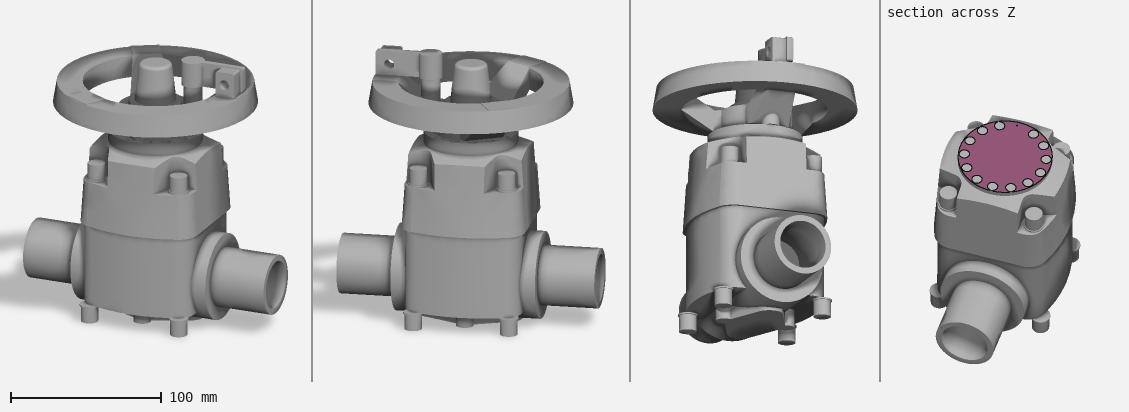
import cadquery as cq
import math


pipe_half_length = 87.0
pipe_radius = 20.1
bore_radius = 16.1
collar_half_length = 48.8
collar_radius = 29.2
pipe_axis_z = 31.2

body_half_x = 39.3
body_half_y = 42.8
bow_radius = 86.3
corner_radius = 13.2
body_bottom_z = 11.8
body_top_z = 68.2

bonnet_overhang = 2.2
bonnet_draft = 3.9
roof_slope = 0.35
flange_radius = 31.4
flange_bottom_z = 121.1
flange_top_z = 129.3

lock_hole_count = 14
lock_hole_radius = 3.3
lock_hole_depth = 4.5
lock_circle_radius = 27.2

bolt_radius = 5.8
washer_radius = 6.5
washer_height = 1.0
upper_bolt_offset = 29.7
upper_bolt_top_z = 110.2
pocket_floor_z = 98.5
pocket_radius = 8.5
pocket_wall_angle = 20.0
lower_bolt_x = 32.3
lower_bolt_y = 35.2
middle_bolt_y = 21.8

foot_nose_radius = 9.0
foot_nose_x = 25.5
foot_peak_y = 21.8

hub_radius = 25.0
hub_top_z = 144.9
rim_bottom_radius = 68.0
rim_top_radius = 65.5
rim_inner_radius = 48.2
rim_bottom_z = 148.0
rim_top_z = 162.8
spoke_count = 3
spoke_end_radius = 64.5
spoke_bottom_z = 130.5
spoke_top_z = 163.4
spoke_bottom_start = 26.0
spoke_root_radius = 19.5
spoke_root_half_width = 14.9
spoke_tip_half_width = 9.8

spindle_collar_radius = 17.8
spindle_collar_top_z = 149.8
spindle_collar_round = 1.3
knob_base_radius = 13.8
knob_top_radius = 10.9
knob_top_z = 175.7
knob_round = 2.5

pin_radius = 6.3
pin_head_radius = 7.8
bar_bottom_z = 164.5
bar_top_z = 181.3
bar_half_width = 2.2
bar_end_x = 64.0
bar_corner_round = 1.6
block_start_x = 48.6
block_end_x = 62.2
block_front_y = -12.0
block_top_z = 180.6
block_corner_round = 1.3
padlock_hole_radius = 3.5
padlock_hole_x = 55.0
padlock_hole_z = 171.9


def cylinder(radius, bottom_z, top_z, x=0.0, y=0.0):
    """Upright cylinder between two heights."""
    return cq.Workplane("XY", origin=(x, y, bottom_z)).circle(radius).extrude(top_z - bottom_z)


def bowed_outline(bottom_z, offset):
    """Rounded outline with bowed Y sides, grown outward by an offset."""
    half_x = body_half_x + offset
    half_y = body_half_y + offset
    radius = bow_radius + offset
    edge_y = half_y - radius + math.sqrt(radius**2 - half_x**2)
    outline = (
        cq.Sketch()
        .segment((half_x, -edge_y), (half_x, edge_y))
        .arc((half_x, edge_y), (0, half_y), (-half_x, edge_y))
        .segment((-half_x, edge_y), (-half_x, -edge_y))
        .arc((-half_x, -edge_y), (0, -half_y), (half_x, -edge_y))
        .assemble()
        .vertices()
        .fillet(corner_radius)
    )
    return cq.Workplane("XY", origin=(0, 0, bottom_z)).placeSketch(outline)


def pipe_cylinder(radius, half_length):
    """Cylinder on the pipe axis, centred on the spindle."""
    plane = cq.Workplane("YZ", origin=(-half_length, 0, pipe_axis_z))
    return plane.circle(radius).extrude(2 * half_length)


def corner_pocket():
    """Bolt pocket of the +X +Y corner: round about the bolt, open outward."""
    reach = 2 * body_half_x
    angle = math.radians(pocket_wall_angle)
    center = upper_bolt_offset
    low_y = center - pocket_radius
    mid_angle = (math.radians(90) + angle) / 2
    tangent_x = center - pocket_radius * math.cos(angle)
    tangent_y = center - pocket_radius * math.sin(angle)
    arc_mid = (
        center - pocket_radius * math.cos(mid_angle),
        center - pocket_radius * math.sin(mid_angle),
    )
    wall_end_x = tangent_x - (reach - tangent_y) * math.tan(angle)
    return (
        cq.Workplane("XY", origin=(0, 0, pocket_floor_z))
        .moveTo(reach, low_y)
        .lineTo(center, low_y)
        .threePointArc(arc_mid, (tangent_x, tangent_y))
        .lineTo(wall_end_x, reach)
        .lineTo(reach, reach)
        .close()
        .extrude(flange_top_z - pocket_floor_z)
    )


def make_bonnet():
    """Drafted bonnet with a conical roof, flange and four corner pockets."""
    height = flange_top_z - body_top_z
    block = bowed_outline(body_top_z, bonnet_overhang).extrude(height, taper=bonnet_draft)
    reach = 2 * body_half_x
    roof_edge_z = flange_bottom_z - roof_slope * (reach - flange_radius)
    envelope = (
        cq.Workplane("XZ")
        .polyline([
            (0, body_top_z),
            (reach, body_top_z),
            (reach, roof_edge_z),
            (flange_radius, flange_bottom_z),
            (0, flange_bottom_z),
        ])
        .close()
        .revolve(360, (0, 0), (0, 1))
    )
    bonnet = block.intersect(envelope)
    pocket = corner_pocket()
    across = pocket.mirror("YZ")
    for cutter in (pocket, across, pocket.mirror("XZ"), across.mirror("XZ")):
        bonnet = bonnet.cut(cutter)
    bonnet = bonnet.union(cylinder(flange_radius, flange_bottom_z, flange_top_z))
    for index in range(1, lock_hole_count):
        angle = 2 * math.pi * index / lock_hole_count
        hole = cylinder(
            lock_hole_radius,
            flange_top_z - lock_hole_depth,
            flange_top_z,
            lock_circle_radius * math.cos(angle),
            lock_circle_radius * math.sin(angle),
        )
        bonnet = bonnet.cut(hole)
    return bonnet


def make_foot():
    """Diamond foot with rounded noses toward X."""
    peak_distance = math.hypot(foot_nose_x, foot_peak_y)
    peak_angle = math.atan2(foot_peak_y, foot_nose_x)
    tangent_angle = peak_angle + math.acos(foot_nose_radius / peak_distance)
    tangent_x = foot_nose_x - foot_nose_radius * math.cos(tangent_angle)
    tangent_y = foot_nose_radius * math.sin(tangent_angle)
    tip_x = foot_nose_x + foot_nose_radius
    return (
        cq.Workplane("XY")
        .moveTo(0, foot_peak_y)
        .lineTo(tangent_x, tangent_y)
        .threePointArc((tip_x, 0), (tangent_x, -tangent_y))
        .lineTo(0, -foot_peak_y)
        .lineTo(-tangent_x, -tangent_y)
        .threePointArc((-tip_x, 0), (-tangent_x, tangent_y))
        .close()
        .extrude(body_bottom_z)
    )


def make_bolts():
    """Upper and lower corner bolts with washers, and two plain middle bolts."""
    bolts = cylinder(bolt_radius, 0, body_bottom_z, 0, middle_bolt_y)
    bolts = bolts.union(cylinder(bolt_radius, 0, body_bottom_z, 0, -middle_bolt_y))
    washer_top_z = pocket_floor_z + washer_height
    washer_bottom_z = body_bottom_z - washer_height
    for side_x in (-1, 1):
        for side_y in (-1, 1):
            upper = (side_x * upper_bolt_offset, side_y * upper_bolt_offset)
            lower = (side_x * lower_bolt_x, side_y * lower_bolt_y)
            bolts = (
                bolts
                .union(cylinder(bolt_radius, pocket_floor_z, upper_bolt_top_z, *upper))
                .union(cylinder(washer_radius, pocket_floor_z, washer_top_z, *upper))
                .union(cylinder(bolt_radius, 0, body_bottom_z, *lower))
                .union(cylinder(washer_radius, washer_bottom_z, body_bottom_z, *lower))
            )
    return bolts


def make_spoke():
    """Spoke toward +X: rises from the hub and lies across the rim."""
    profile = (
        cq.Workplane("XZ")
        .polyline([
            (0, spoke_bottom_z),
            (spoke_bottom_start, spoke_bottom_z),
            (rim_inner_radius, rim_bottom_z),
            (spoke_end_radius, rim_bottom_z),
            (spoke_end_radius, spoke_top_z),
            (rim_inner_radius, spoke_top_z),
            (hub_radius, hub_top_z),
            (0, hub_top_z),
        ])
        .close()
        .extrude(hub_radius, both=True)
    )
    plan = (
        cq.Workplane("XY", origin=(0, 0, spoke_bottom_z))
        .polyline([
            (0, -spoke_root_half_width),
            (spoke_root_radius, -spoke_root_half_width),
            (rim_inner_radius, -spoke_tip_half_width),
            (spoke_end_radius, -spoke_tip_half_width),
            (spoke_end_radius, spoke_tip_half_width),
            (rim_inner_radius, spoke_tip_half_width),
            (spoke_root_radius, spoke_root_half_width),
            (0, spoke_root_half_width),
        ])
        .close()
        .extrude(spoke_top_z - spoke_bottom_z)
    )
    return profile.intersect(plan)


def make_handwheel():
    """Tapered rim, three spokes and a plain hub."""
    wheel = (
        cq.Workplane("XZ")
        .polyline([
            (rim_inner_radius, rim_bottom_z),
            (rim_bottom_radius, rim_bottom_z),
            (rim_top_radius, rim_top_z),
            (rim_inner_radius, rim_top_z),
        ])
        .close()
        .revolve(360, (0, 0), (0, 1))
    )
    spoke = make_spoke()
    for index in range(spoke_count):
        turn = 360 * index / spoke_count
        wheel = wheel.union(spoke.rotate((0, 0, 0), (0, 0, 1), turn))
    return wheel.union(cylinder(hub_radius, flange_top_z, hub_top_z))


def make_knob():
    """Spindle collar and tapered knob with rounded top edges."""
    collar = cylinder(spindle_collar_radius, hub_top_z, spindle_collar_top_z)
    collar = collar.faces(">Z").edges().fillet(spindle_collar_round)
    knob = (
        cq.Workplane("XZ")
        .polyline([
            (0, spindle_collar_top_z),
            (knob_base_radius, spindle_collar_top_z),
            (knob_top_radius, knob_top_z),
            (0, knob_top_z),
        ])
        .close()
        .revolve(360, (0, 0), (0, 1))
        .faces(">Z")
        .edges()
        .fillet(knob_round)
    )
    return collar.union(knob)


def make_lock():
    """Locking pin with a bar and a drilled padlock block on the rim."""
    pin = cylinder(pin_radius, flange_top_z, bar_bottom_z, lock_circle_radius)
    head = cylinder(pin_head_radius, bar_bottom_z, bar_top_z, lock_circle_radius)
    bar = (
        cq.Workplane("XY", origin=(lock_circle_radius, 0, bar_bottom_z))
        .box(
            bar_end_x - lock_circle_radius,
            2 * bar_half_width,
            bar_top_z - bar_bottom_z,
            centered=(False, True, False),
        )
        .edges("|Y and >X")
        .fillet(bar_corner_round)
    )
    block = (
        cq.Workplane("XY", origin=(block_start_x, block_front_y, rim_top_z))
        .box(
            block_end_x - block_start_x,
            -block_front_y,
            block_top_z - rim_top_z,
            centered=False,
        )
        .edges("|Y and >Z")
        .fillet(block_corner_round)
    )
    hole = (
        cq.Workplane("XZ", origin=(padlock_hole_x, 0, padlock_hole_z))
        .circle(padlock_hole_radius)
        .extrude(-2 * block_front_y, both=True)
    )
    return pin.union(head).union(bar).union(block).cut(hole)


def make_body():
    """Body with collars and pipe ends; blind bores stop level with the flat body sides."""
    body = bowed_outline(body_bottom_z, 0).extrude(body_top_z - body_bottom_z)
    body = body.union(pipe_cylinder(collar_radius, collar_half_length))
    body = body.union(pipe_cylinder(pipe_radius, pipe_half_length))
    solid_core = pipe_cylinder(pipe_radius, body_half_x)
    return body.cut(pipe_cylinder(bore_radius, pipe_half_length).cut(solid_core))


result = make_body()
for make_piece in (make_foot, make_bonnet, make_bolts, make_handwheel, make_knob, make_lock):
    result = result.union(make_piece())